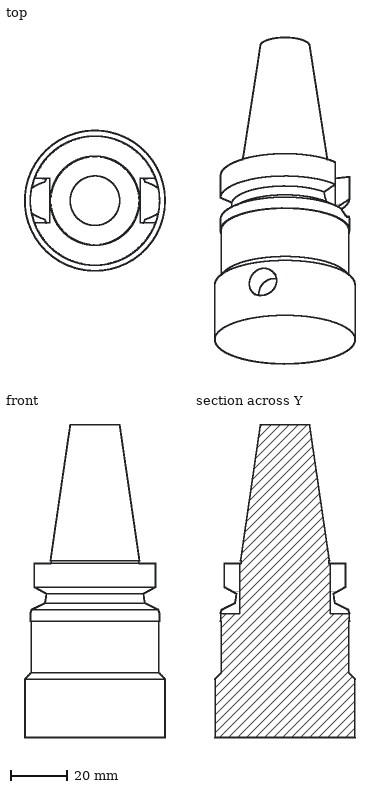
import cadquery as cq

TOTAL_HEIGHT = 111.4
BASE_TOP = 20.8
BODY_BOTTOM = 23.2
FLANGE_BOTTOM = 41.4
LOWER_FLANGE_TOP = 45.6
GROOVE_BOTTOM = 47.9
GROOVE_TOP = 51.2
UPPER_FLANGE_BOTTOM = 53.6
FLANGE_TOP = 62.0
TAPER_BOTTOM = 63.0

BASE_DIAMETER = 50.0
BODY_DIAMETER = 45.5
FLANGE_DIAMETER = 46.0
GROOVE_DIAMETER = 38.1
NECK_DIAMETER = 31.2
TAPER_LARGE_DIAMETER = 31.7
TAPER_RATIO = 7 / 24
TAPER_SMALL_DIAMETER = TAPER_LARGE_DIAMETER - TAPER_RATIO * (TOTAL_HEIGHT - TAPER_BOTTOM)

SLOT_WIDTH = 15.8
SLOT_BOTTOM = 44.2
SLOT_FLOOR_DISTANCE = 16.2

SCREW_HOLE_DIAMETER = 10.2
SCREW_HOLE_HEIGHT = 13.1
SCREW_HOLE_DEPTH = 11.1


def turned_holder():
    """Revolve the half profile of the tool holder about Z."""
    sections = [
        (BASE_DIAMETER, 0),
        (BASE_DIAMETER, BASE_TOP),
        (BODY_DIAMETER, BODY_BOTTOM),
        (BODY_DIAMETER, FLANGE_BOTTOM),
        (FLANGE_DIAMETER, FLANGE_BOTTOM),
        (FLANGE_DIAMETER, LOWER_FLANGE_TOP),
        (GROOVE_DIAMETER, GROOVE_BOTTOM),
        (GROOVE_DIAMETER, GROOVE_TOP),
        (FLANGE_DIAMETER, UPPER_FLANGE_BOTTOM),
        (FLANGE_DIAMETER, FLANGE_TOP),
        (NECK_DIAMETER, FLANGE_TOP),
        (NECK_DIAMETER, TAPER_BOTTOM),
        (TAPER_LARGE_DIAMETER, TAPER_BOTTOM),
        (TAPER_SMALL_DIAMETER, TOTAL_HEIGHT),
    ]
    outline = [(diameter / 2, height) for diameter, height in sections]
    profile = cq.Workplane("XZ").polyline([(0, 0)] + outline + [(0, TOTAL_HEIGHT)]).close()
    return profile.revolve(360, (0, 0, 0), (0, 1, 0))


def drive_slot(side):
    """Cutter for a round-bottomed slot, open at the top; side is -1 or +1 along X."""
    half_width = SLOT_WIDTH / 2
    arc_center_height = SLOT_BOTTOM + half_width
    return (
        cq.Workplane("YZ", origin=(side * SLOT_FLOOR_DISTANCE, 0, 0))
        .moveTo(-half_width, FLANGE_TOP)
        .lineTo(-half_width, arc_center_height)
        .threePointArc((0, SLOT_BOTTOM), (half_width, arc_center_height))
        .lineTo(half_width, FLANGE_TOP)
        .close()
        .extrude(side * (BASE_DIAMETER / 2 - SLOT_FLOOR_DISTANCE))
    )


def screw_hole():
    """Cutter for the blind radial hole, running inward from the base surface."""
    return (
        cq.Workplane("XZ", origin=(0, BASE_DIAMETER / 2, SCREW_HOLE_HEIGHT))
        .circle(SCREW_HOLE_DIAMETER / 2)
        .extrude(SCREW_HOLE_DEPTH)
    )


result = turned_holder()
for slot_side in (-1, 1):
    result = result.cut(drive_slot(slot_side))
result = result.cut(screw_hole())